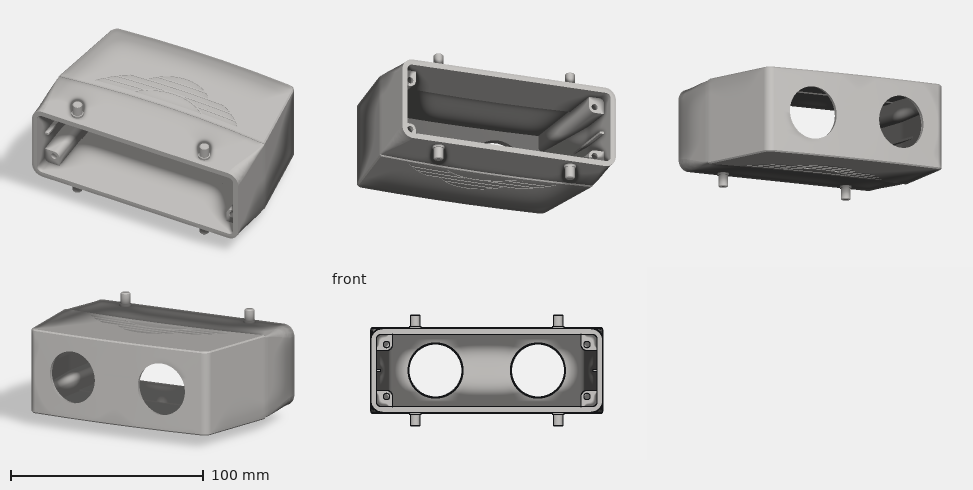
import cadquery as cq
import math

half_width = 60.2
length = 80.9
back_half_width = 53.0
back_corner_y = 78.6
back_corner_radius = 4.2
shoulder_y = 29.8
shoulder_blend_radius = 30.1

rear_half_height = 22.4
mouth_half_height = 21.7
edge_chamfer = rear_half_height - mouth_half_height
step_peak_y = 33.4
step_side_y = 29.8
step_radius = (half_width**2 + (step_peak_y - step_side_y) ** 2) / (2 * (step_peak_y - step_side_y))
step_edge_chamfer = 0.5

mouth_corner_radius = 6.0
step_corner_radius = 0.8
corner_sections = 7

wall = 2.9
mouth_cavity_half_height = mouth_half_height - wall
rear_cavity_half_height = rear_half_height - wall
cavity_corner_radius = 2.7
cavity_back_radius = 2.4
cavity_step_peak_y = step_peak_y + wall

post_x = 52.0
post_z = 13.5
post_radius = 3.1
post_front_y = 8.8
screw_hole_diameter = 3.4
screw_hole_depth = 12.0
rib_thickness = 1.2
rib_inner_x = 55.2

entry_x = 26.5
entry_diameter = 27.2
entry_inner_diameter = 28.7
entry_inner_y = 77.4

pin_x = 37.1
pin_y = 6.5
pin_tip_z = 28.9
pin_diameter = 5.1
pin_chamfer = 0.5
collar_diameter = 6.1
collar_top_z = 22.9

grip_depth = 0.2
grip_pitch = 4.1
grip_land = 0.8
grip_bands = 5
wide_grip_bands = 3
grip_first_y = 36.8
thumb_start_y = 36.4
upper_grip_center_y = 35.5
upper_grip_radius = 21.9
wide_grip_center_y = 1.3
wide_grip_radius = 53.6
thumb_center_y = 15.0
thumb_radius = 28.8

overlap = 2.4


def plan_solid(half_height, back_radius, inset=0):
    """Hood outline moved inwards by `inset`, with round back corners and blended shoulders."""
    solid = (
        cq.Workplane("XY", origin=(0, 0, -half_height))
        .moveTo(-half_width, 0)
        .lineTo(half_width, 0)
        .lineTo(half_width, shoulder_y)
        .lineTo(back_half_width, back_corner_y)
        .threePointArc((0, length), (-back_half_width, back_corner_y))
        .lineTo(-half_width, shoulder_y)
        .close()
        .offset2D(-inset)
        .extrude(2 * half_height)
    )
    solid = solid.edges("|Z").edges(">Y").fillet(back_radius)
    for side in (-1, 1):
        near_shoulder = cq.selectors.NearestToPointSelector((side * half_width, shoulder_y, 0))
        solid = solid.edges("|Z").edges(near_shoulder).fillet(shoulder_blend_radius - inset)
    return solid


def mouth_side_of_arc(peak_y, bottom_z, top_z):
    """Slab covering everything on the mouth side of an arc with the same radius as the step."""
    reach = half_width + overlap
    reach_y = peak_y - step_radius + math.sqrt(step_radius**2 - reach**2)
    return (
        cq.Workplane("XY", origin=(0, 0, bottom_z))
        .moveTo(-reach, -overlap)
        .lineTo(reach, -overlap)
        .lineTo(reach, reach_y)
        .threePointArc((0, peak_y), (-reach, reach_y))
        .close()
        .extrude(top_z - bottom_z)
    )


def mirrored(solid, plane="XY"):
    """The solid together with its mirror image."""
    return solid.union(solid.mirror(plane))


def outer_corner_radius(fraction):
    """Corner radius at a fraction of the way from the mouth to the step."""
    blend = 3 * fraction**2 - 2 * fraction**3
    return mouth_corner_radius + (step_corner_radius - mouth_corner_radius) * blend


def corner_section(fraction):
    """Waste between the square +X +Z corner and its round, in a plane across Y."""
    radius = outer_corner_radius(fraction)
    y = fraction * step_side_y
    center_x = half_width - radius
    center_z = mouth_half_height - radius
    diagonal = radius * math.sqrt(0.5)
    top = cq.Vector(center_x, y, mouth_half_height)
    middle = cq.Vector(center_x + diagonal, y, center_z + diagonal)
    side = cq.Vector(half_width, y, center_z)
    corner = cq.Vector(half_width, y, mouth_half_height)
    edges = [
        cq.Edge.makeThreePointArc(top, middle, side),
        cq.Edge.makeLine(side, corner),
        cq.Edge.makeLine(corner, top),
    ]
    return cq.Wire.assembleEdges(edges)


def corner_waste():
    """Waste along all four outer corners of the mouth part."""
    fractions = [i / (corner_sections - 1) for i in range(corner_sections)]
    cutter = cq.Workplane(obj=cq.Solid.makeLoft([corner_section(f) for f in fractions]))
    return mirrored(mirrored(cutter), "YZ")


def outer_body():
    """Solid hood: stepped, chamfered and rounded, before hollowing."""
    body = plan_solid(rear_half_height, back_corner_radius)
    body = body.faces("|Z").edges().chamfer(edge_chamfer)
    step_cut = mouth_side_of_arc(step_peak_y, mouth_half_height, rear_half_height + overlap)
    body = body.cut(mirrored(step_cut))
    for z in (-rear_half_height, rear_half_height):
        step_edge = cq.selectors.NearestToPointSelector((0, step_peak_y, z))
        body = body.edges(step_edge).chamfer(step_edge_chamfer)
    return body.cut(corner_waste())


def mouth_bar(depth):
    """Rounded rectangular bar along Y, the size of the mouth opening."""
    return (
        cq.Workplane("XZ")
        .rect(2 * (half_width - wall), 2 * mouth_cavity_half_height)
        .extrude(-depth)
        .edges("|Y")
        .fillet(cavity_corner_radius)
    )


def cavity():
    """Hollow that is as high as the mouth in front and deepens behind the step."""
    mouth = plan_solid(mouth_cavity_half_height, cavity_back_radius, wall).intersect(mouth_bar(length))
    mouth = mouth.union(mouth_bar(post_front_y))
    mouth_part = mouth_side_of_arc(cavity_step_peak_y, -rear_half_height, rear_half_height)
    rear = plan_solid(rear_cavity_half_height, cavity_back_radius, wall).cut(mouth_part)
    return mouth.union(rear)


def screw_post():
    """Post in the +X +Z corner, rounded about its blind screw hole."""
    inner_x = post_x - post_radius
    inner_z = post_z - post_radius
    post = (
        cq.Workplane("XZ", origin=(0, post_front_y, 0))
        .moveTo(inner_x, inner_z)
        .rect(half_width - inner_x, rear_half_height - inner_z, centered=False)
        .extrude(post_front_y - length)
    )
    round_edge = cq.selectors.NearestToPointSelector((inner_x, length / 2, inner_z))
    post = post.edges("|Y").edges(round_edge).fillet(post_radius)
    hole = (
        cq.Workplane("XZ", origin=(0, post_front_y, 0))
        .center(post_x, post_z)
        .circle(screw_hole_diameter / 2)
        .extrude(-screw_hole_depth)
    )
    return post.cut(hole)


def side_rib():
    """Thin rib on the +X wall, midway between the posts."""
    rib_width = half_width - rib_inner_x
    return (
        cq.Workplane("XY", origin=(rib_inner_x, post_front_y, 0))
        .box(rib_width, length - post_front_y, rib_thickness, centered=(False, False, True))
    )


def cable_entry():
    """Tapered opening through the back wall at +X, wider on the inside."""
    inner_center = cq.Vector(entry_x, entry_inner_y, 0)
    outward = cq.Vector(0, 1, 0)
    inner_radius = entry_inner_diameter / 2
    depth = length - entry_inner_y
    cone = cq.Solid.makeCone(inner_radius, entry_diameter / 2, depth, inner_center, outward)
    clearance = cq.Solid.makeCylinder(inner_radius, overlap, inner_center, -outward)
    return cq.Workplane(obj=cone).union(cq.Workplane(obj=clearance))


def locking_pin():
    """Pin with a collar on the +X +Z side."""
    root_z = mouth_half_height - wall / 2
    base = cq.Workplane("XY", origin=(pin_x, pin_y, root_z))
    pin = base.circle(pin_diameter / 2).extrude(pin_tip_z - root_z)
    pin = pin.faces(">Z").chamfer(pin_chamfer)
    return pin.union(base.circle(collar_diameter / 2).extrude(collar_top_z - root_z))


def disc(center_y, radius, bottom_z, height):
    return cq.Workplane("XY", origin=(0, center_y, bottom_z)).circle(radius).extrude(height)


def grip():
    """Waste of the finger grip in the top face: five bands and a thumb patch."""
    floor_z = rear_half_height - grip_depth
    cut_height = grip_depth + overlap
    top_z = floor_z + cut_height
    upper_area = disc(upper_grip_center_y, upper_grip_radius, floor_z, cut_height)
    wide_area = disc(wide_grip_center_y, wide_grip_radius, floor_z, cut_height)
    wide_area = wide_area.cut(disc(thumb_center_y, thumb_radius + grip_land, floor_z, cut_height))
    thumb = disc(thumb_center_y, thumb_radius, floor_z, cut_height)

    waste = thumb.cut(mouth_side_of_arc(thumb_start_y, floor_z, top_z))
    for i in range(grip_bands):
        band_start = grip_first_y + i * grip_pitch
        band_end = band_start + grip_pitch - grip_land
        band = wide_area if i < wide_grip_bands else upper_area
        band = band.cut(mouth_side_of_arc(band_start, floor_z, top_z))
        if i < grip_bands - 1:
            band = band.intersect(mouth_side_of_arc(band_end, floor_z, top_z))
        waste = waste.union(band)
    return waste


body = outer_body()
fittings = screw_post().union(screw_post().mirror("XY")).union(side_rib())
fittings = mirrored(fittings, "YZ").intersect(body)
hood = body.cut(cavity()).union(fittings)
hood = hood.cut(mirrored(cable_entry(), "YZ"))
hood = hood.cut(mirrored(grip()))
result = hood.union(mirrored(mirrored(locking_pin()), "YZ"))